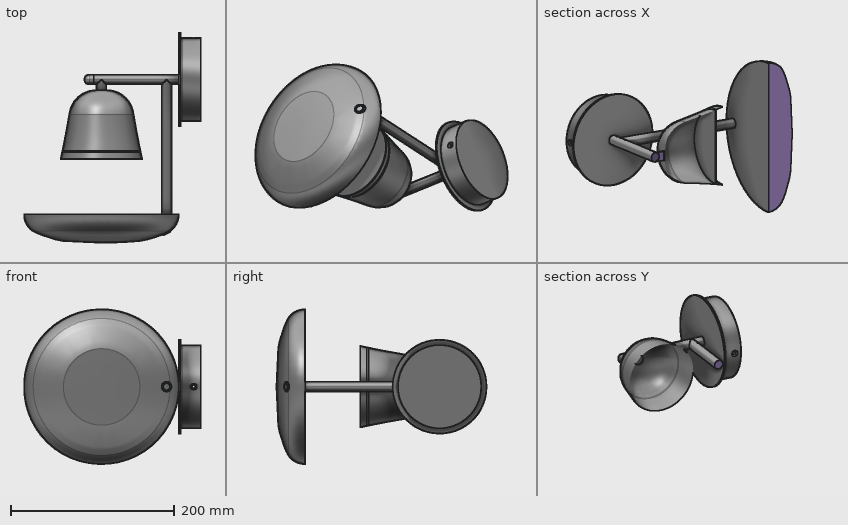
import cadquery as cq
import math


TOTAL_WIDTH = 217.0
TOTAL_DEPTH = 257.6

DISH_RADIUS = 190.0 / 2

TUBE_RADIUS = 12.0 / 2
ROD_X = 79.9

MOUNT_BACK_X = TOTAL_WIDTH - DISH_RADIUS
MOUNT_FRONT_X = 95.0
PLATE_THICKNESS = 2.0
PLATE_BACK_X = MOUNT_FRONT_X + PLATE_THICKNESS
PLATE_RADIUS = 115.2 / 2
BASE_RADIUS = 51.0
BASE_FILLET = 1.8
SCREW_HOLE_X = 113.0
SCREW_HOLE_DIAMETER = 4.0
COUNTERSINK_DIAMETER = 8.0

CAP_JOINT_X = -9.5
CAP_TIP_X = -20.9

SHADE_TOP_Y = -13.0
SHADE_SEAM_Y = -42.3
SHADE_RIM_Y = -97.5
SHADE_SEAM_RADIUS = 39.5
SHADE_RIM_RADIUS = 50.0
SKIRT_SAG = 0.39
SHADE_WALL = 1.0
DIFFUSER_RECESS = 8.2
DIFFUSER_THICKNESS = 2.0

DISH_BACK_Y = -165.0
EDGE_RADIUS = 84.0
EDGE_DEPTH = 20.5
SHOULDER_RADIUS = 66.0
SHOULDER_DEPTH = 28.3
CROWN_RADIUS = 47.0
CROWN_DEPTH = 33.0
DISH_FRONT_Y = PLATE_RADIUS - TOTAL_DEPTH
DISH_DEPTH = DISH_BACK_Y - DISH_FRONT_Y

PLUG_RADIUS = 8.5 / 2
PLUG_SEAT_DEPTH = EDGE_DEPTH
PLUG_PROUD = 1.3


def cylinder_x(radius, x_start, x_end):
    return cq.Workplane("YZ").workplane(offset=x_start).circle(radius).extrude(x_end - x_start)


def cylinder_y(radius, x, y_start, y_end):
    return cq.Workplane("XZ", origin=(x, y_start, 0)).circle(radius).extrude(y_start - y_end)


def revolve_about_y(outline):
    return outline.revolve(360, (0, 0, 0), (0, 1, 0))


def make_wall_plate():
    return cylinder_x(PLATE_RADIUS, MOUNT_FRONT_X, PLATE_BACK_X)


def countersink(side):
    """Cone of 90 degrees, widest where the screw hole meets the base; side is +1 or -1 along Y."""
    mouth_radius = COUNTERSINK_DIAMETER / 2
    overshoot = 0.8
    top_radius = mouth_radius + overshoot
    return cq.Workplane(
        cq.Solid.makeCone(
            top_radius,
            0,
            top_radius,
            pnt=cq.Vector(SCREW_HOLE_X, side * (BASE_RADIUS + overshoot), 0),
            dir=cq.Vector(0, -side, 0),
        )
    )


def make_wall_base():
    base = cylinder_x(BASE_RADIUS, PLATE_BACK_X, MOUNT_BACK_X).faces("<X").edges().fillet(BASE_FILLET)
    base = base.cut(cylinder_y(SCREW_HOLE_DIAMETER / 2, SCREW_HOLE_X, BASE_RADIUS, -BASE_RADIUS))
    for side in (-1, 1):
        base = base.cut(countersink(side))
    return base


def make_arm():
    return cylinder_x(TUBE_RADIUS, CAP_JOINT_X, MOUNT_FRONT_X)


def make_end_cap():
    """Round bar that ends in a half ball, turned about the arm axis."""
    ball_x = CAP_TIP_X + TUBE_RADIUS
    bulge = TUBE_RADIUS * math.sqrt(0.5)
    return (
        cq.Workplane("XY")
        .moveTo(CAP_TIP_X, 0)
        .threePointArc((ball_x - bulge, bulge), (ball_x, TUBE_RADIUS))
        .lineTo(CAP_JOINT_X, TUBE_RADIUS)
        .lineTo(CAP_JOINT_X, 0)
        .close()
        .revolve(360, (0, 0, 0), (1, 0, 0))
    )


def shade_solid(inset):
    """Solid bell, drawn in from the outer surface of the shade by the inset."""
    seam_radius = SHADE_SEAM_RADIUS - inset
    rim_radius = SHADE_RIM_RADIUS - inset
    top_y = SHADE_TOP_Y - inset
    skirt_middle = ((seam_radius + rim_radius) / 2 - SKIRT_SAG, (SHADE_SEAM_Y + SHADE_RIM_Y) / 2)
    return revolve_about_y(
        cq.Workplane("XY")
        .moveTo(0, top_y)
        .lineTo(TUBE_RADIUS, top_y)
        .tangentArcPoint((seam_radius, SHADE_SEAM_Y), relative=False)
        .threePointArc(skirt_middle, (rim_radius, SHADE_RIM_Y))
        .lineTo(0, SHADE_RIM_Y)
        .close()
    )


def make_shade():
    return shade_solid(0).cut(shade_solid(SHADE_WALL))


def make_diffuser():
    """Flat disc that fills the mouth of the shade, set back from its rim."""
    front_y = SHADE_RIM_Y + DIFFUSER_RECESS
    slab = cylinder_y(SHADE_RIM_RADIUS, 0, front_y + DIFFUSER_THICKNESS, front_y)
    return slab.intersect(shade_solid(SHADE_WALL))


def make_stub():
    """Short tube between the arm and the top of the shade."""
    return cylinder_y(TUBE_RADIUS, 0, 0, SHADE_TOP_Y).cut(make_arm())


def edge_arc_middle():
    """Radius and depth halfway along the rolled edge, an arc square to the back face."""
    inset = DISH_RADIUS - EDGE_RADIUS
    arc_radius = (inset**2 + EDGE_DEPTH**2) / (2 * inset)
    half_angle = math.asin(EDGE_DEPTH / arc_radius) / 2
    return DISH_RADIUS - arc_radius * (1 - math.cos(half_angle)), arc_radius * math.sin(half_angle)


def crown_arc_middle():
    """Radius and depth halfway out along the crown, an arc with its peak on the dish axis."""
    rise = DISH_DEPTH - CROWN_DEPTH
    arc_radius = (rise**2 + CROWN_RADIUS**2) / (2 * rise)
    half_angle = math.asin(CROWN_RADIUS / arc_radius) / 2
    return arc_radius * math.sin(half_angle), DISH_DEPTH - arc_radius * (1 - math.cos(half_angle))


def dish_solid():
    def at(radius, depth):
        return radius, DISH_BACK_Y - depth

    return revolve_about_y(
        cq.Workplane("XY")
        .moveTo(*at(0, 0))
        .lineTo(*at(DISH_RADIUS, 0))
        .threePointArc(at(*edge_arc_middle()), at(EDGE_RADIUS, EDGE_DEPTH))
        .threePointArc(at(SHOULDER_RADIUS, SHOULDER_DEPTH), at(CROWN_RADIUS, CROWN_DEPTH))
        .threePointArc(at(*crown_arc_middle()), at(0, DISH_DEPTH))
        .close()
    )


def make_plug():
    """Short pin whose end follows the dish surface, raised by a small step."""
    seat_y = DISH_BACK_Y - PLUG_SEAT_DEPTH
    pin = cylinder_y(PLUG_RADIUS, ROD_X, seat_y, DISH_FRONT_Y)
    return pin.intersect(dish_solid().translate((0, -PLUG_PROUD, 0)))


def make_rod():
    """Tube from the arm through the dish, trimmed flush with the dish and bored for the plug."""
    outside = cylinder_y(TUBE_RADIUS, ROD_X, 0, DISH_BACK_Y).cut(make_arm())
    inside = cylinder_y(TUBE_RADIUS, ROD_X, DISH_BACK_Y, DISH_FRONT_Y).intersect(dish_solid())
    return outside.union(inside).cut(make_plug())


def make_dish():
    return dish_solid().cut(cylinder_y(TUBE_RADIUS, ROD_X, DISH_BACK_Y, DISH_FRONT_Y))


wall_plate = make_wall_plate()
wall_base = make_wall_base()
arm = make_arm()
end_cap = make_end_cap()
stub = make_stub()
shade = make_shade()
diffuser = make_diffuser()
rod = make_rod()
plug = make_plug()
dish = make_dish()

result = cq.Compound.makeCompound(
    [
        wall_plate.val(),
        wall_base.val(),
        arm.val(),
        end_cap.val(),
        stub.val(),
        shade.val(),
        diffuser.val(),
        rod.val(),
        plug.val(),
        dish.val(),
    ]
)